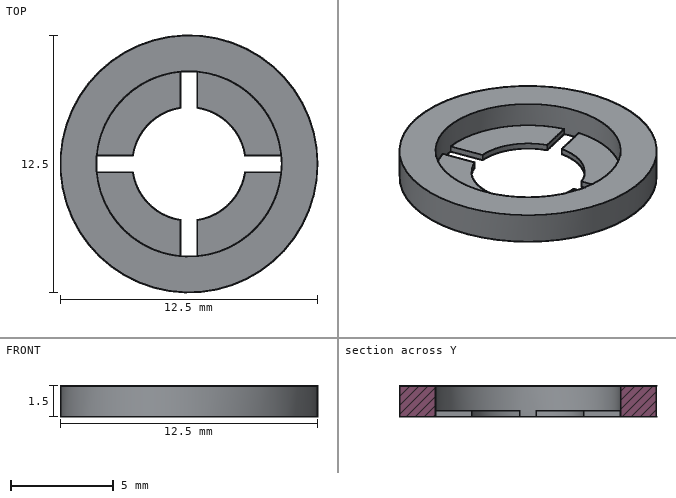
import cadquery as cq

outer_diameter = 12.5
height = 1.5
recess_diameter = 9.0
lip_bore_diameter = 5.5
lip_thickness = 0.3
slot_width = 0.8


def make_ring():
    """Plain outer ring standing on the XY plane."""
    return (
        cq.Workplane("XY")
        .circle(outer_diameter / 2)
        .circle(recess_diameter / 2)
        .extrude(height)
    )


def make_lip():
    """Thin inner lip at the bottom, split into four tabs by crossed slots."""
    lip = (
        cq.Workplane("XY")
        .circle((outer_diameter + recess_diameter) / 4)
        .circle(lip_bore_diameter / 2)
        .extrude(lip_thickness)
    )
    for angle in (0, 90):
        slot = (
            cq.Workplane("XY")
            .rect(outer_diameter, slot_width)
            .extrude(lip_thickness)
            .rotate((0, 0, 0), (0, 0, 1), angle)
        )
        lip = lip.cut(slot)
    return lip


result = make_ring().union(make_lip())